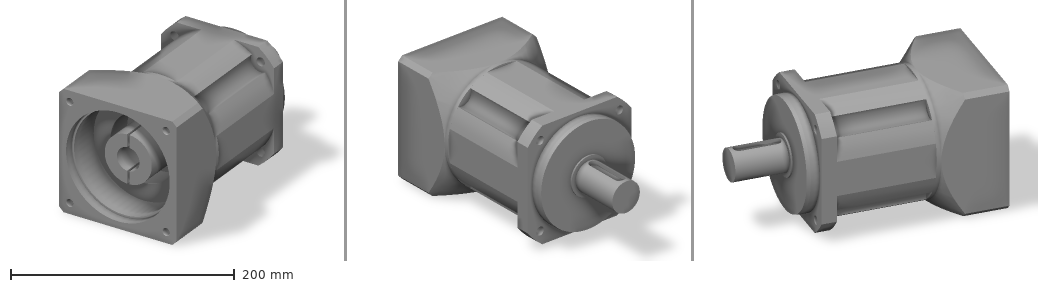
import cadquery as cq
import math


MOTOR_FACE_Y = -122.5
SEAT_Y = -52.7
FLANGE_BACK_Y = 42.5
FLANGE_FRONT_Y = 57.0
PILOT_TAPER_Y = 65.5
PILOT_FRONT_Y = 69.0
COLLAR_FRONT_Y = 70.8
SHAFT_END_Y = 122.5

ADAPTER_SIZE = 125.0
ADAPTER_CHAMFER = 4.7
RING_WIDTH = 4.5
SPIGOT_RADIUS = 55.1
SPIGOT_DEPTH = 9.8
CAVITY_RADIUS = 53.0
CAVITY_DEPTH = 42.5
HUB_OPENING_RADIUS = 35.0
MOTOR_HOLE_RADIUS = 3.5
MOTOR_HOLE_MOUTH_RADIUS = 4.0
MOTOR_HOLE_DEPTH = 19.5
MOTOR_HOLE_OFFSET = 51.2
DRILL_POINT_ANGLE = 118.0

HOUSING_SIZE = 120.0
HOUSING_RADIUS = ADAPTER_SIZE / 2
FLANGE_CORNER_RADIUS = 74.0
PILOT_RADIUS = 55.0
PILOT_TAPER = 0.5
MOUNT_HOLE_RADIUS = 4.5
MOUNT_HOLE_OFFSET = 45.8
GROOVE_RADIUS = 10.5

COLLAR_RADIUS = 20.5
SHAFT_RADIUS = 16.0
KEYWAY_WIDTH = 10.0
KEYWAY_LENGTH = 46.3
KEYWAY_END_GAP = 3.7
KEYWAY_DEPTH = 5.0

HUB_RADIUS = 25.0
HUB_INSET = 17.2
HUB_BORE_RADIUS = 12.0
HUB_BORE_EXTRA_DEPTH = 5.0
HUB_SLIT_WIDTH = 2.5

CORNERS = [(1, 1), (-1, 1), (-1, -1), (1, -1)]


def section_plane(y):
    """Workplane across the axis at station y; sketches extrude toward +Y."""
    return cq.Workplane(cq.Plane(origin=(0, y, 0), xDir=(-1, 0, 0), normal=(0, 1, 0)))


def disc(radius, y_start, y_end):
    return section_plane(y_start).circle(radius).extrude(y_end - y_start)


def square_bar(size, y_start, y_end):
    return section_plane(y_start).rect(size, size).extrude(y_end - y_start)


def corner_discs(offset, radius, y_start, y_end):
    """Four cylinders on the diagonals, one in each corner."""
    centres = [(sx * offset, sz * offset) for sx, sz in CORNERS]
    return section_plane(y_start).pushPoints(centres).circle(radius).extrude(y_end - y_start)


def turned(profile):
    """Revolve a closed (radius, y) outline about the Y axis."""
    return cq.Workplane("XY").polyline(profile).close().revolve(360, (0, 0, 0), (0, 1, 0))


def adapter_envelope():
    """Round ring that widens through a 45 degree cone into the square motor face."""
    ring_radius = ADAPTER_SIZE / 2
    cone_start_y = SEAT_Y - RING_WIDTH
    cone_length = cone_start_y - MOTOR_FACE_Y
    return turned([
        (0, SEAT_Y),
        (ring_radius, SEAT_Y),
        (ring_radius, cone_start_y),
        (ring_radius + cone_length, MOTOR_FACE_Y),
        (0, MOTOR_FACE_Y),
    ])


def motor_holes():
    """Blind drilled holes with 45 degree countersunk mouths and conical bottoms for the motor screws."""
    point_length = MOTOR_HOLE_RADIUS / math.tan(math.radians(DRILL_POINT_ANGLE / 2))
    mouth_depth = MOTOR_HOLE_MOUTH_RADIUS - MOTOR_HOLE_RADIUS
    hole_end_y = MOTOR_FACE_Y + MOTOR_HOLE_DEPTH
    drill = turned([
        (0, MOTOR_FACE_Y),
        (MOTOR_HOLE_MOUTH_RADIUS, MOTOR_FACE_Y),
        (MOTOR_HOLE_RADIUS, MOTOR_FACE_Y + mouth_depth),
        (MOTOR_HOLE_RADIUS, hole_end_y),
        (0, hole_end_y + point_length),
    ])
    return [
        drill.translate((sx * MOTOR_HOLE_OFFSET, 0, sz * MOTOR_HOLE_OFFSET)) for sx, sz in CORNERS
    ]


def make_adapter():
    block = square_bar(ADAPTER_SIZE, MOTOR_FACE_Y, SEAT_Y).edges("|Y").chamfer(ADAPTER_CHAMFER)
    adapter = block.intersect(adapter_envelope())
    adapter = adapter.cut(disc(SPIGOT_RADIUS, MOTOR_FACE_Y, MOTOR_FACE_Y + SPIGOT_DEPTH))
    adapter = adapter.cut(disc(CAVITY_RADIUS, MOTOR_FACE_Y, MOTOR_FACE_Y + CAVITY_DEPTH))
    adapter = adapter.cut(disc(HUB_OPENING_RADIUS, MOTOR_FACE_Y, SEAT_Y))
    for hole in motor_holes():
        adapter = adapter.cut(hole)
    return adapter


def make_housing():
    """Grooved barrel with the square mounting flange and its pilot."""
    barrel = square_bar(HOUSING_SIZE, SEAT_Y, FLANGE_BACK_Y)
    barrel = barrel.intersect(disc(HOUSING_RADIUS, SEAT_Y, FLANGE_BACK_Y))
    barrel = barrel.cut(corner_discs(MOUNT_HOLE_OFFSET, GROOVE_RADIUS, SEAT_Y, FLANGE_BACK_Y))

    flange = square_bar(HOUSING_SIZE, FLANGE_BACK_Y, FLANGE_FRONT_Y)
    flange = flange.intersect(disc(FLANGE_CORNER_RADIUS, FLANGE_BACK_Y, FLANGE_FRONT_Y))
    flange = flange.cut(
        corner_discs(MOUNT_HOLE_OFFSET, MOUNT_HOLE_RADIUS, FLANGE_BACK_Y, FLANGE_FRONT_Y)
    )

    pilot = turned([
        (0, FLANGE_FRONT_Y),
        (PILOT_RADIUS, FLANGE_FRONT_Y),
        (PILOT_RADIUS, PILOT_TAPER_Y),
        (PILOT_RADIUS - PILOT_TAPER, PILOT_FRONT_Y),
        (0, PILOT_FRONT_Y),
    ])
    return barrel.union(flange).union(pilot)


def make_output_shaft():
    """Output shaft with its collar and a round-ended keyway on the +Z side."""
    shaft = disc(SHAFT_RADIUS, PILOT_FRONT_Y, SHAFT_END_Y)
    collar = disc(COLLAR_RADIUS, PILOT_FRONT_Y, COLLAR_FRONT_Y)
    keyway_centre_y = SHAFT_END_Y - KEYWAY_END_GAP - KEYWAY_LENGTH / 2
    keyway = (
        cq.Workplane("XY", origin=(0, keyway_centre_y, SHAFT_RADIUS - KEYWAY_DEPTH))
        .slot2D(KEYWAY_LENGTH, KEYWAY_WIDTH, 90)
        .extrude(KEYWAY_DEPTH)
    )
    return shaft.union(collar).cut(keyway)


def make_gearbox():
    """Housing in one piece with its output shaft and slit clamping hub."""
    hub_face_y = MOTOR_FACE_Y + HUB_INSET
    hub_length = SEAT_Y - hub_face_y
    hub = disc(HUB_RADIUS, hub_face_y, SEAT_Y)
    slit = section_plane(hub_face_y).rect(HUB_SLIT_WIDTH, 2 * HUB_RADIUS).extrude(hub_length)
    gearbox = make_housing().union(make_output_shaft()).union(hub.cut(slit))
    return gearbox.cut(disc(HUB_BORE_RADIUS, hub_face_y, SEAT_Y + HUB_BORE_EXTRA_DEPTH))


adapter = make_adapter()
gearbox = make_gearbox()

result = cq.Compound.makeCompound([adapter.val(), gearbox.val()])